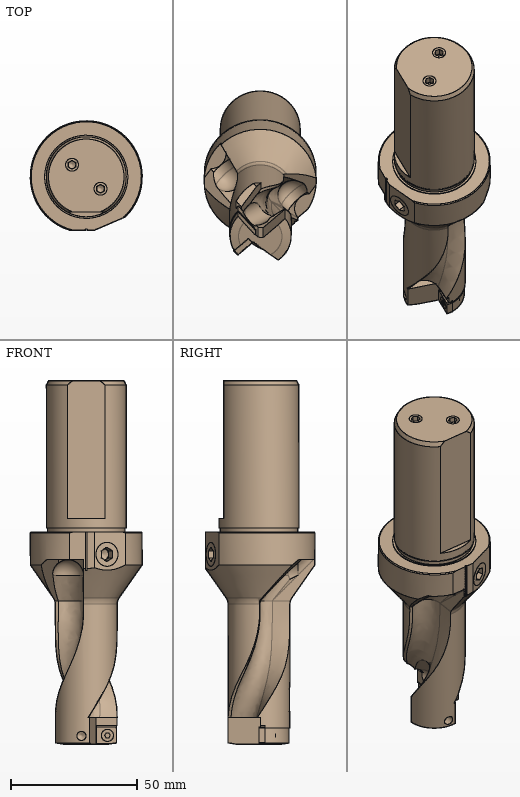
import cadquery as cq
import math

TOTAL_HEIGHT = 144.29
SHANK_LENGTH = 60.0
COLLAR_LENGTH = 13.1
CONE_LENGTH = 14.2
COLLAR_BOTTOM_Z = TOTAL_HEIGHT - SHANK_LENGTH - COLLAR_LENGTH
COLLAR_TOP_Z = TOTAL_HEIGHT - SHANK_LENGTH
CONE_BOTTOM_Z = COLLAR_BOTTOM_Z - CONE_LENGTH

SHANK_RADIUS = 31.75 / 2
SHANK_CHAMFER_HEIGHT = 1.8
SHANK_CHAMFER_DEPTH = 0.9
UNDERCUT_HEIGHT = 1.5
UNDERCUT_DEPTH = 0.45
COLLAR_RADIUS = 44.45 / 2
COLLAR_CHAMFER = 0.4
RECESS_RADIUS = 16.5
RECESS_DEPTH = 0.3
DRILL_RADIUS = 12.3
NECK_FILLET = 4.0
END_FACE_RADIUS = 8.6
END_FACE_RISE = 0.6

SHANK_FLAT_Y = -14.0
SHANK_FLAT_LENGTH = 54.6
COLLAR_FLAT_Y = COLLAR_RADIUS - 43.45
PLUG_FLAT_DISTANCE = 20.77
PLUG_FLAT_ANGLE = 23.3
INDEX_GROOVE_WIDTH = 0.7
INDEX_GROOVE_DEPTH = 0.5
CUT_SIZE = 60.0

CHANNEL_RADIUS = 6.15
CHANNEL_X = -7.25
CHANNEL_Y = -5.3
HEEL_X = -11.1
HEEL_RISE = 1.5
FLUTE_REACH = 18.0
FLUTE_TOP_Z = CONE_BOTTOM_Z
TWIST_START_Z = 52.6
TWIST_STEADY_Z = 26.6
TWIST_END_Z = 10.8
TWIST_RATE = 3.04
EASE_SECTIONS = 6
STEADY_SECTIONS = 4
RUNOUT_HEIGHT = 10.1
RUNOUT_OUTWARD = 6.3
RUNOUT_REACH = 25.0
HEEL_RUNOUT = 16.3

OUTER_POCKET_TOP_Z = TWIST_END_Z
OUTER_WALL_OUTSIDE_X = 1.3
OUTER_WALL_INSIDE_X = 3.8
OUTER_POCKET_Y = 0.6
INNER_POCKET_TOP_Z = 13.1
INNER_POCKET_X = 0.8
INNER_POCKET_Y = -1.1
INNER_POCKET_BEVEL = 1.4
HEEL_RELIEF_Y = 9.0
HEEL_RELIEF_TOP_X = -6.0
HEEL_RELIEF_TOP_Z = 32.0
HEEL_RELIEF_BOTTOM_X = 2.0
HEEL_RELIEF_BOTTOM_Z = 22.0
BALL_RADIUS = 4.9
BALL_START = (-8.0, 0.5, 24.5)
BALL_CENTRE = (-2.2, 5.4, 12.4)
RELIEF_HEIGHT = 6.6
RELIEF_START_Y = 1.7
RELIEF_DEPTH = 0.3
TAIL_HOLE_X = -1.9
TAIL_HOLE_Z = 3.4
TAIL_HOLE_RADIUS = 1.8
TAIL_HOLE_DEPTH = 5.0
DRILL_TIP_SLOPE = 30.0

INSERT_LEFT_X = 4.1
INSERT_RIGHT_X = 12.05
INSERT_BOTTOM_Z = 0.4
INSERT_TOP_Z = 6.9
INSERT_THICKNESS = 2.4
INSERT_CORNER_CHAMFER = 0.4
INSERT_GAP = 0.7
SCREW_X = 8.4
SCREW_Z = 3.6
SCREW_HEAD_RADIUS = 2.4
SCREW_SHANK_RADIUS = 1.3
SCREW_HEAD_HEIGHT = 1.5
SCREW_LENGTH = 6.5
SCREW_SOCKET_RADIUS = 1.1
SCREW_SOCKET_DEPTH = 1.0

COLLAR_PLUG_RADIUS = 4.75
COLLAR_PLUG_LENGTH = 8.0
COLLAR_PLUG_Z = 75.4
COLLAR_PLUG_HEX = 4.8
COLLAR_PLUG_SOCKET_DEPTH = 4.0
SHANK_PLUG_RADIUS = 2.55
SHANK_PLUG_LENGTH = 6.0
SHANK_PLUG_HEX = 3.0
SHANK_PLUG_SOCKET_DEPTH = 3.0
SHANK_PLUG_X = 5.65
SHANK_PLUG_Y = -4.75


def box_between(low, high):
    """Axis-aligned box from its lowest corner to its highest corner."""
    size = [b - a for a, b in zip(low, high)]
    return cq.Workplane("XY").box(*size, centered=False).translate(low)


def turned_body():
    """Shank, undercut, collar, cone and drill stem as one revolved outline."""
    undercut_radius = SHANK_RADIUS - UNDERCUT_DEPTH
    outline = (
        cq.Workplane("XZ")
        .moveTo(0, 0)
        .lineTo(END_FACE_RADIUS, 0)
        .lineTo(DRILL_RADIUS, END_FACE_RISE)
        .lineTo(DRILL_RADIUS, CONE_BOTTOM_Z)
        .lineTo(COLLAR_RADIUS, COLLAR_BOTTOM_Z)
        .lineTo(COLLAR_RADIUS, COLLAR_TOP_Z - COLLAR_CHAMFER)
        .lineTo(COLLAR_RADIUS - COLLAR_CHAMFER, COLLAR_TOP_Z)
        .lineTo(RECESS_RADIUS, COLLAR_TOP_Z)
        .lineTo(RECESS_RADIUS, COLLAR_TOP_Z - RECESS_DEPTH)
        .lineTo(undercut_radius, COLLAR_TOP_Z - RECESS_DEPTH)
        .lineTo(undercut_radius, COLLAR_TOP_Z + UNDERCUT_HEIGHT)
        .lineTo(SHANK_RADIUS, COLLAR_TOP_Z + UNDERCUT_HEIGHT)
        .lineTo(SHANK_RADIUS, TOTAL_HEIGHT - SHANK_CHAMFER_HEIGHT)
        .lineTo(SHANK_RADIUS - SHANK_CHAMFER_DEPTH, TOTAL_HEIGHT)
        .lineTo(0, TOTAL_HEIGHT)
        .close()
    )
    turned = outline.revolve(360, (0, 0, 0), (0, 1, 0))
    neck = cq.selectors.BoxSelector(
        (-COLLAR_RADIUS, -COLLAR_RADIUS, CONE_BOTTOM_Z - 1),
        (COLLAR_RADIUS, COLLAR_RADIUS, CONE_BOTTOM_Z + 1),
    )
    return turned.edges("%CIRCLE").edges(neck).fillet(NECK_FILLET)


def shank_flat():
    """Clamping flat on the -Y side of the shank."""
    return box_between(
        (-CUT_SIZE / 2, SHANK_FLAT_Y - CUT_SIZE, TOTAL_HEIGHT - SHANK_FLAT_LENGTH),
        (CUT_SIZE / 2, SHANK_FLAT_Y, TOTAL_HEIGHT + 1),
    )


def collar_flats():
    """Two flats and the index groove, all running the height of collar and cone."""
    index_flat = box_between(
        (-CUT_SIZE / 2, COLLAR_FLAT_Y - CUT_SIZE, CONE_BOTTOM_Z),
        (CUT_SIZE / 2, COLLAR_FLAT_Y, COLLAR_TOP_Z),
    )
    plug_flat = box_between(
        (-CUT_SIZE / 2, -PLUG_FLAT_DISTANCE - CUT_SIZE, CONE_BOTTOM_Z),
        (CUT_SIZE / 2, -PLUG_FLAT_DISTANCE, COLLAR_TOP_Z),
    ).rotate((0, 0, 0), (0, 0, 1), PLUG_FLAT_ANGLE)
    groove = box_between(
        (-INDEX_GROOVE_WIDTH / 2, COLLAR_FLAT_Y - 1, CONE_BOTTOM_Z),
        (INDEX_GROOVE_WIDTH / 2, COLLAR_FLAT_Y + INDEX_GROOVE_DEPTH, COLLAR_TOP_Z),
    )
    return index_flat.union(plug_flat).union(groove)


def twist_at(z):
    """Flute rotation in degrees: eases in below TWIST_START_Z, then winds at a steady rate."""
    eased_height = TWIST_START_Z - TWIST_STEADY_Z
    if z > TWIST_START_Z:
        return 0.0
    if z > TWIST_STEADY_Z:
        return TWIST_RATE * (TWIST_START_Z - z) ** 2 / (2 * eased_height)
    return TWIST_RATE * (eased_height / 2 + TWIST_STEADY_Z - z)


def flute_section(z, twist):
    """Closed outline at height z, before twisting: cutting wall, round channel and thin heel."""
    wall_x = CHANNEL_X + CHANNEL_RADIUS
    heel_y = CHANNEL_Y + math.sqrt(CHANNEL_RADIUS**2 - (HEEL_X - CHANNEL_X) ** 2)
    channel_top = (CHANNEL_X, CHANNEL_Y + CHANNEL_RADIUS)
    outline = (
        cq.Workplane("XY")
        .moveTo(HEEL_X, heel_y)
        .threePointArc(channel_top, (wall_x, CHANNEL_Y))
        .lineTo(wall_x, -FLUTE_REACH)
        .lineTo(-FLUTE_REACH, -FLUTE_REACH)
        .lineTo(-FLUTE_REACH, heel_y + HEEL_RISE)
        .close()
    )
    return outline.val().rotate(cq.Vector(), cq.Vector(0, 0, 1), -twist).translate(cq.Vector(0, 0, z))


def push(outline, direction):
    """Solid left by pushing a closed outline along a straight direction."""
    return cq.Workplane(obj=cq.Solid.extrudeLinear(outline, [], cq.Vector(direction)))


def flute_cut():
    """Cutters of one flute: the twist, then a heel and a channel that climb out through the cone."""
    ease_step = (TWIST_START_Z - TWIST_STEADY_Z) / EASE_SECTIONS
    steady_step = (TWIST_STEADY_Z - TWIST_END_Z) / STEADY_SECTIONS
    straight_middle_z = (FLUTE_TOP_Z + TWIST_START_Z) / 2
    heights = [FLUTE_TOP_Z, straight_middle_z]
    heights += [TWIST_START_Z - i * ease_step for i in range(EASE_SECTIONS)]
    heights += [TWIST_STEADY_Z - i * steady_step for i in range(STEADY_SECTIONS + 1)]
    twisted = cq.Workplane(obj=cq.Solid.makeLoft([flute_section(z, twist_at(z)) for z in heights]))
    heel_runout = push(flute_section(FLUTE_TOP_Z, 0), (0, -HEEL_RUNOUT, HEEL_RUNOUT))
    channel_outline = (
        cq.Workplane("XY", origin=(CHANNEL_X, CHANNEL_Y, FLUTE_TOP_Z)).circle(CHANNEL_RADIUS).wires().val()
    )
    channel_runout = push(channel_outline, (0, -RUNOUT_OUTWARD, RUNOUT_HEIGHT))
    runout_tip = (CHANNEL_X, CHANNEL_Y - RUNOUT_OUTWARD, FLUTE_TOP_Z + RUNOUT_HEIGHT)
    runout_end = (
        cq.Workplane("XZ", origin=runout_tip)
        .circle(CHANNEL_RADIUS)
        .extrude(RUNOUT_REACH)
        .union(cq.Workplane("XY", origin=runout_tip).sphere(CHANNEL_RADIUS))
    )
    return [twisted, heel_runout, channel_runout, runout_end]


def half_turn(shape):
    """Turns a shape to the opposite side of the drill axis."""
    return shape.rotate((0, 0, 0), (0, 0, 1), 180)


def outer_pocket():
    """Chip pocket in front of the insert, where the outer flute ends."""
    return (
        cq.Workplane("XY", origin=(0, 0, -1))
        .moveTo(OUTER_WALL_OUTSIDE_X, -DRILL_RADIUS)
        .lineTo(OUTER_WALL_INSIDE_X, OUTER_POCKET_Y)
        .lineTo(DRILL_RADIUS + 1, OUTER_POCKET_Y)
        .lineTo(DRILL_RADIUS + 1, -DRILL_RADIUS)
        .close()
        .extrude(OUTER_POCKET_TOP_Z + 1)
    )


def inner_pocket():
    """Bevel-cornered pocket below the inner flute, with the ball-nosed end of that flute."""
    pocket = (
        cq.Workplane("XY", origin=(0, 0, -1))
        .moveTo(-CUT_SIZE / 2, INNER_POCKET_Y)
        .lineTo(INNER_POCKET_X - INNER_POCKET_BEVEL, INNER_POCKET_Y)
        .lineTo(INNER_POCKET_X, INNER_POCKET_Y + INNER_POCKET_BEVEL)
        .lineTo(INNER_POCKET_X, CUT_SIZE / 2)
        .lineTo(-CUT_SIZE / 2, CUT_SIZE / 2)
        .close()
        .extrude(INNER_POCKET_TOP_Z + 1)
    )
    relief = box_between(
        (INNER_POCKET_X - 1, RELIEF_START_Y, -1),
        (INNER_POCKET_X + RELIEF_DEPTH, CUT_SIZE / 2, RELIEF_HEIGHT),
    )
    start = cq.Vector(BALL_START)
    path = cq.Vector(BALL_CENTRE) - start
    channel = cq.Workplane(obj=cq.Solid.makeCylinder(BALL_RADIUS, path.Length, start, path))
    ball = cq.Workplane("XY").sphere(BALL_RADIUS).translate(BALL_CENTRE)
    return pocket.union(relief).union(channel).union(ball)


def heel_relief():
    """Slanting cut that thins the heel of the inner flute above its pocket."""
    return (
        cq.Workplane("XZ")
        .moveTo(-DRILL_RADIUS, HEEL_RELIEF_TOP_Z)
        .lineTo(HEEL_RELIEF_TOP_X, HEEL_RELIEF_TOP_Z)
        .lineTo(HEEL_RELIEF_BOTTOM_X, HEEL_RELIEF_BOTTOM_Z)
        .lineTo(HEEL_RELIEF_BOTTOM_X, INNER_POCKET_TOP_Z)
        .lineTo(-DRILL_RADIUS, INNER_POCKET_TOP_Z)
        .close()
        .extrude(-CUT_SIZE / 2)
        .intersect(box_between((-CUT_SIZE, HEEL_RELIEF_Y, 0), (CUT_SIZE, CUT_SIZE, TOTAL_HEIGHT)))
    )


def outside_relief():
    """Thin ring sector that thins the land behind the insert."""
    ring = (
        cq.Workplane("XY", origin=(0, 0, -1))
        .circle(DRILL_RADIUS + 1)
        .circle(DRILL_RADIUS - RELIEF_DEPTH)
        .extrude(RELIEF_HEIGHT + 1)
    )
    land = box_between((0, 0, -1), (CUT_SIZE, CUT_SIZE, RELIEF_HEIGHT))
    return ring.intersect(land)


def drill_tip(radius):
    """Cone left by a drill, pointing down from z = 0."""
    height = radius * math.tan(math.radians(DRILL_TIP_SLOPE))
    return cq.Workplane(obj=cq.Solid.makeCone(radius, 0, height, cq.Vector(), cq.Vector(0, 0, -1)))


def tail_hole():
    """Blind drilled hole in the drill stem, entering from -Y."""
    hole = cq.Workplane("XY").circle(TAIL_HOLE_RADIUS).extrude(TAIL_HOLE_DEPTH + 1)
    hole = hole.union(drill_tip(TAIL_HOLE_RADIUS)).rotate((0, 0, 0), (1, 0, 0), 90)
    return hole.translate((TAIL_HOLE_X, TAIL_HOLE_DEPTH - DRILL_RADIUS, TAIL_HOLE_Z))


def insert_seat():
    """Pocket that takes the insert, open to the tip and to the outside."""
    return box_between(
        (INSERT_LEFT_X, -1, -1),
        (DRILL_RADIUS + 1, INSERT_THICKNESS, INSERT_TOP_Z + INSERT_GAP),
    )


def screw_envelope():
    """Countersunk screw without its socket, head flush with the insert face."""
    profile = (
        cq.Workplane("XY")
        .moveTo(0, 0)
        .lineTo(SCREW_HEAD_RADIUS, 0)
        .lineTo(SCREW_SHANK_RADIUS, SCREW_HEAD_HEIGHT)
        .lineTo(SCREW_SHANK_RADIUS, SCREW_LENGTH)
        .lineTo(0, SCREW_LENGTH)
        .close()
    )
    return profile.revolve(360, (0, 0, 0), (0, 1, 0)).translate((SCREW_X, 0, SCREW_Z))


def plug_envelope(radius, length):
    """Plug blank with its outer face on z = 0 and its length running down."""
    return cq.Workplane("XY").circle(radius).extrude(-length)


def plug(radius, length, hex_size, socket_depth):
    """Plug with a hexagonal key socket, ending in a drill tip, in its outer face."""
    corner_diameter = hex_size / math.cos(math.pi / 6)
    socket = cq.Workplane("XY").polygon(6, corner_diameter).extrude(-socket_depth)
    socket = socket.rotate((0, 0, 0), (0, 0, 1), 30)
    pilot_end = drill_tip(hex_size / 2).translate((0, 0, -socket_depth))
    return plug_envelope(radius, length).cut(socket).cut(pilot_end)


def place_in_collar(shape):
    """Moves a plug to the middle of the tilted collar flat."""
    facing_front = shape.rotate((0, 0, 0), (1, 0, 0), 90)
    on_flat = facing_front.translate((0, -PLUG_FLAT_DISTANCE, COLLAR_PLUG_Z))
    return on_flat.rotate((0, 0, 0), (0, 0, 1), PLUG_FLAT_ANGLE)


def place_in_shank(shape, side):
    """Moves a plug to the shank end face, on one side or the other of the axis."""
    return shape.translate((side * SHANK_PLUG_X, side * SHANK_PLUG_Y, TOTAL_HEIGHT))


def drill_body():
    body = turned_body().cut(shank_flat()).cut(collar_flats())
    for cutter in flute_cut():
        body = body.cut(cutter).cut(half_turn(cutter))
    for cutter in (outer_pocket(), inner_pocket(), heel_relief(), outside_relief(), tail_hole()):
        body = body.cut(cutter)
    body = body.cut(insert_seat()).cut(screw_envelope())
    body = body.cut(place_in_collar(plug_envelope(COLLAR_PLUG_RADIUS, COLLAR_PLUG_LENGTH)))
    for side in (-1, 1):
        body = body.cut(place_in_shank(plug_envelope(SHANK_PLUG_RADIUS, SHANK_PLUG_LENGTH), side))
    return body


def cutting_insert():
    """Insert with its cutting face on y = 0 and a countersunk hole for the screw."""
    block = box_between(
        (INSERT_LEFT_X, 0, INSERT_BOTTOM_Z),
        (INSERT_RIGHT_X, INSERT_THICKNESS, INSERT_TOP_Z),
    )
    block = block.edges("|Y and >X").chamfer(INSERT_CORNER_CHAMFER)
    return block.cut(screw_envelope())


def insert_screw():
    socket = (
        cq.Workplane("XZ", origin=(SCREW_X, 0, SCREW_Z))
        .polygon(6, 2 * SCREW_SOCKET_RADIUS)
        .extrude(-SCREW_SOCKET_DEPTH)
    )
    return screw_envelope().cut(socket)


body = drill_body()
insert = cutting_insert()
screw = insert_screw()
collar_plug = place_in_collar(
    plug(COLLAR_PLUG_RADIUS, COLLAR_PLUG_LENGTH, COLLAR_PLUG_HEX, COLLAR_PLUG_SOCKET_DEPTH)
)
shank_plugs = [
    place_in_shank(
        plug(SHANK_PLUG_RADIUS, SHANK_PLUG_LENGTH, SHANK_PLUG_HEX, SHANK_PLUG_SOCKET_DEPTH), side
    )
    for side in (-1, 1)
]

result = cq.Compound.makeCompound(
    [body.val(), insert.val(), screw.val(), collar_plug.val(), *[p.val() for p in shank_plugs]]
)